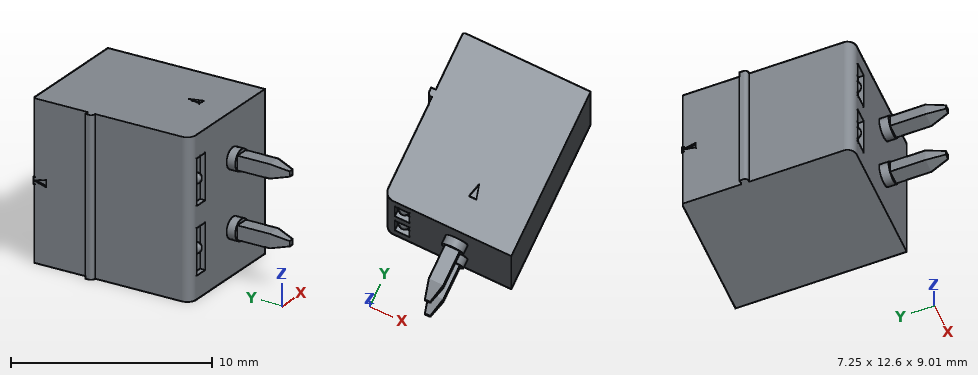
import cadquery as cq


PITCH = 3.81
PIN_COUNT = 2
PIN_WIDTH = 0.8
PIN_LENGTH = 3.4
PIN_TIP_WIDTH = 0.3
PIN_TIP_LENGTH = 1.0
COLLAR_DIAMETER = 1.2
COLLAR_LENGTH = 0.5

LEFT_FACE_TO_PINS = 4.0
HOUSING_WIDTH = 7.0
HOUSING_DEPTH = 9.2
END_MARGIN = 2.6
HOUSING_HEIGHT = PITCH * (PIN_COUNT - 1) + 2 * END_MARGIN
FRONT_ROUND = 0.5
BACK_ROUND = 0.12
LEFT_X = -LEFT_FACE_TO_PINS
TOP_Z = HOUSING_HEIGHT / 2

RIB_HEIGHT = 0.25
RIB_WIDTH = 0.42
RIB_ROUND = 0.2
RIB_TO_BACK = 3.2

POCKET_WIDTH = 0.8
POCKET_HEIGHT = 2.6
POCKET_DEPTH = 0.3
POCKET_X = LEFT_X + 1.0
BUMP_RADIUS = 0.3

MARK_WIDTH = 0.4
TOP_MARK_LENGTH = 0.75
SIDE_MARK_LENGTH = 0.7
MARK_DEPTH = 0.1
TOP_MARK_TO_FRONT = 1.85
SIDE_MARK_TO_BACK = 0.05

PIN_HEIGHTS = [(i - (PIN_COUNT - 1) / 2) * PITCH for i in range(PIN_COUNT)]


def facing_front(y):
    """Workplane at depth y whose normal points to -Y and whose local axes are X and Z."""
    return cq.Workplane("XZ", origin=(0, y, 0))


def make_housing():
    """Block with rounded left edges, the back one left square at mid height."""
    from_corner = (False, False, True)
    block = cq.Workplane("XY").box(HOUSING_WIDTH, HOUSING_DEPTH, HOUSING_HEIGHT, centered=from_corner)
    block = block.translate((LEFT_X, 0, 0))
    block = block.edges("|Z and <X and <Y").fillet(FRONT_ROUND)
    block = block.edges("|Z and <X and >Y").fillet(BACK_ROUND)
    corner_fill = cq.Workplane("XY").box(BACK_ROUND, BACK_ROUND, MARK_WIDTH, centered=from_corner)
    return block.union(corner_fill.translate((LEFT_X, HOUSING_DEPTH - BACK_ROUND, 0)))


def make_rib():
    """Full-height rib half sunk in the left face, rounded on its front corner."""
    back_y = HOUSING_DEPTH - RIB_TO_BACK
    rib = cq.Workplane("XY").box(2 * RIB_HEIGHT, RIB_WIDTH, HOUSING_HEIGHT)
    rib = rib.edges("|Z and <X and <Y").fillet(RIB_ROUND)
    return rib.translate((LEFT_X, back_y - RIB_WIDTH / 2, 0))


def make_pocket(z):
    """Rectangular recess, extruded from its floor out to the front face."""
    outline = facing_front(POCKET_DEPTH).center(POCKET_X, z).rect(POCKET_WIDTH, POCKET_HEIGHT)
    return outline.extrude(POCKET_DEPTH)


def make_bump(z):
    """Ball half sunk in the pocket floor."""
    return cq.Workplane("XY").sphere(BUMP_RADIUS).translate((POCKET_X, POCKET_DEPTH, z))


def make_pin(z):
    """Round collar, square shank and tapered square tip."""
    shank_end = PIN_LENGTH - PIN_TIP_LENGTH
    collar = facing_front(0).center(0, z).circle(COLLAR_DIAMETER / 2).extrude(COLLAR_LENGTH)
    shank = facing_front(0).center(0, z).rect(PIN_WIDTH, PIN_WIDTH).extrude(shank_end)
    tip = (
        facing_front(-shank_end)
        .center(0, z)
        .rect(PIN_WIDTH, PIN_WIDTH)
        .workplane(offset=PIN_TIP_LENGTH)
        .rect(PIN_TIP_WIDTH, PIN_TIP_WIDTH)
        .loft(ruled=True)
    )
    return collar.union(shank).union(tip)


def make_top_mark():
    """Triangle sunk in the top face, in line with the pins and pointing to the back."""
    base_y = TOP_MARK_TO_FRONT
    corners = [(-MARK_WIDTH / 2, base_y), (MARK_WIDTH / 2, base_y), (0, base_y + TOP_MARK_LENGTH)]
    return cq.Workplane("XY", origin=(0, 0, TOP_Z)).polyline(corners).close().extrude(-MARK_DEPTH)


def make_side_mark():
    """Triangle sunk in the left face at mid height, pointing to the back edge."""
    apex_y = HOUSING_DEPTH - SIDE_MARK_TO_BACK
    base_y = apex_y - SIDE_MARK_LENGTH
    corners = [(base_y, -MARK_WIDTH / 2), (base_y, MARK_WIDTH / 2), (apex_y, 0)]
    return cq.Workplane("YZ", origin=(LEFT_X, 0, 0)).polyline(corners).close().extrude(MARK_DEPTH)


result = make_housing().union(make_rib())
result = result.cut(make_top_mark()).cut(make_side_mark())
for pin_z in PIN_HEIGHTS:
    result = result.cut(make_pocket(pin_z)).union(make_bump(pin_z)).union(make_pin(pin_z))